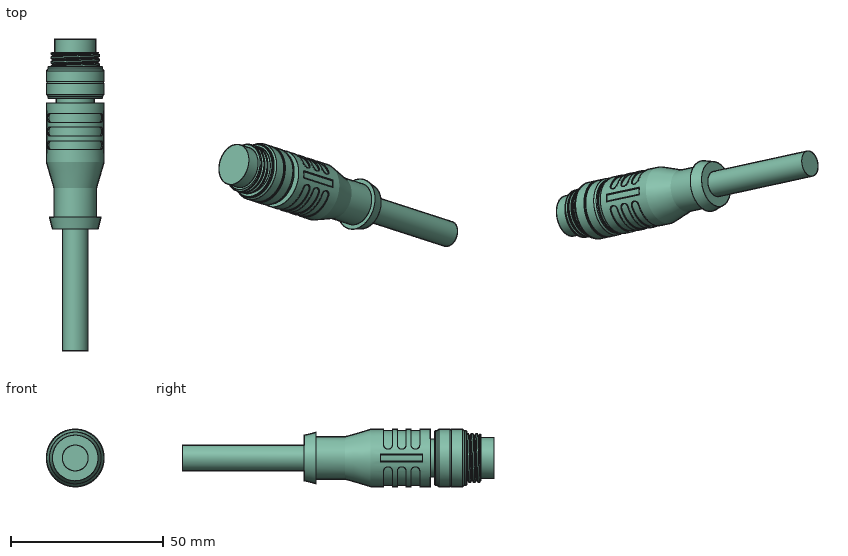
import cadquery as cq

total_length = 102.5
cable_length = 40.0
collar_length = 4.0
boot_length = 9.5
taper_length = 8.5
thread_start = 4.4
nut_start = 9.0
nut_end = 19.6
grip_start = 21.0
collar_end = total_length - cable_length
collar_start = collar_end - collar_length
taper_end = collar_start - boot_length
grip_end = taper_end - taper_length

nose_diameter = 13.6
thread_diameter = 16.0
thread_root_diameter = 14.9
nut_diameter = 19.0
nut_end_diameter = 18.0
nut_groove_diameter = 18.6
neck_diameter = 12.6
grip_diameter = 19.0
boot_diameter = 14.0
collar_large_diameter = 17.0
collar_small_diameter = 15.0
cable_diameter = 8.5

thread_pitch = 1.5
thread_groove_width = 1.05
thread_root_width = 0.3
thread_phase = 0.15
thread_lead_in = 0.3
cutter_overshoot = 0.05

nut_edge_chamfer = 0.25
nut_end_land = 0.55
nut_cone_length = 0.65
nut_groove_width = 0.6

finger_groove_count = 3
finger_groove_pitch = 4.5
finger_groove_width = 2.9
finger_groove_floor_diameter = 18.2
finger_groove_end_height = 2.9
finger_groove_centre = 30.4

side_recess_length = 13.8
side_recess_width = 2.9
side_recess_floor_width = 2.2
side_recess_floor_diameter = 18.6
side_recess_centre = 30.5


def turned_section(start, end, start_diameter, end_diameter):
    """Cylinder or cone on the Y axis between two stations behind the tip."""
    outline = [
        (0, -start),
        (start_diameter / 2, -start),
        (end_diameter / 2, -end),
        (0, -end),
    ]
    return cq.Workplane("XY").polyline(outline).close().revolve(360, (0, 0, 0), (0, 1, 0))


def threaded_shank():
    """Right-hand thread cut as a trapezoidal groove along a helix."""
    shank = turned_section(thread_start, nut_start, thread_diameter, thread_diameter)
    root_radius = thread_root_diameter / 2
    outer_radius = thread_diameter / 2 + cutter_overshoot
    half_root = thread_root_width / 2
    half_width = thread_groove_width / 2
    groove_section = [
        (root_radius, half_root),
        (outer_radius, half_width),
        (outer_radius, -half_width),
        (root_radius, -half_root),
    ]
    helix_height = nut_start - thread_start + 2 * thread_pitch
    helix = cq.Wire.makeHelix(thread_pitch, helix_height, root_radius)
    groove = (
        cq.Workplane("XZ")
        .polyline(groove_section)
        .close()
        .sweep(cq.Workplane(obj=helix), isFrenet=True)
        .rotate((0, 0, 0), (1, 0, 0), -90)
        .translate((0, -nut_start - thread_pitch - thread_phase, 0))
    )
    lead_in_envelope = shank.faces(">Y").chamfer(thread_lead_in)
    return shank.cut(groove).intersect(lead_in_envelope)


def coupling_nut():
    """Ring with a stepped, coned end on each side and a narrow groove around the middle."""
    radius = nut_diameter / 2
    end_radius = nut_end_diameter / 2
    groove_radius = nut_groove_diameter / 2
    half_length = (nut_end - nut_start) / 2
    half_groove = nut_groove_width / 2
    land_edge = half_length - nut_edge_chamfer - nut_end_land
    cone_edge = land_edge - nut_cone_length
    front_half = [
        (groove_radius, half_groove),
        (radius, half_groove),
        (radius, cone_edge),
        (end_radius, land_edge),
        (end_radius, half_length - nut_edge_chamfer),
        (end_radius - nut_edge_chamfer, half_length),
        (0, half_length),
    ]
    rear_half = [(r, -y) for r, y in reversed(front_half)]
    ring = (
        cq.Workplane("XY")
        .polyline(front_half + rear_half)
        .close()
        .revolve(360, (0, 0, 0), (0, 1, 0))
    )
    return ring.translate((0, -(nut_start + nut_end) / 2, 0))


def finger_grooves():
    """Cutters for the finger grooves, shared by the top and the bottom of the grip."""
    reach = grip_diameter
    end_radius = finger_groove_width / 2
    straight_start = finger_groove_end_height + end_radius
    cutters = cq.Workplane("XY")
    for index in range(finger_groove_count):
        offset = (index - (finger_groove_count - 1) / 2) * finger_groove_pitch
        y = -finger_groove_centre - offset
        for side in (1, -1):
            shape = (
                cq.Workplane("YZ")
                .moveTo(y - end_radius, side * reach)
                .lineTo(y - end_radius, side * straight_start)
                .threePointArc((y, side * finger_groove_end_height), (y + end_radius, side * straight_start))
                .lineTo(y + end_radius, side * reach)
                .close()
                .extrude(reach, both=True)
            )
            cutters = cutters.add(shape)
    floor_diameter = finger_groove_floor_diameter
    core = turned_section(grip_start, grip_end, floor_diameter, floor_diameter)
    return cutters.combine().cut(core)


def side_recess(side):
    """Cutter for the long recess on one side of the grip, with sloping long walls."""
    depth = (grip_diameter - side_recess_floor_diameter) / 2
    slope = (side_recess_width - side_recess_floor_width) / 2 / depth
    inner = side * (side_recess_floor_diameter / 2 - depth)
    outer = side * (grip_diameter / 2 + depth)
    inner_half = side_recess_floor_width / 2 - slope * depth
    outer_half = side_recess_width / 2 + slope * depth
    section = [
        (inner, -inner_half),
        (outer, -outer_half),
        (outer, outer_half),
        (inner, inner_half),
    ]
    centre = (0, -side_recess_centre, 0)
    plane = cq.Workplane("XZ", origin=centre)
    wedge = plane.polyline(section).close().extrude(side_recess_length / 2, both=True)
    floor_diameter = side_recess_floor_diameter
    return wedge.cut(turned_section(grip_start, grip_end, floor_diameter, floor_diameter))


def grip():
    """Grip barrel with its finger grooves and side recesses."""
    body = turned_section(grip_start, grip_end, grip_diameter, grip_diameter)
    body = body.cut(finger_grooves())
    for side in (1, -1):
        body = body.cut(side_recess(side))
    return body


result = (
    turned_section(0, nut_start, nose_diameter, nose_diameter)
    .union(threaded_shank())
    .union(coupling_nut())
    .union(turned_section(nut_end, grip_start, neck_diameter, neck_diameter))
    .union(grip())
    .union(turned_section(grip_end, taper_end, grip_diameter, boot_diameter))
    .union(turned_section(taper_end, collar_start, boot_diameter, boot_diameter))
    .union(turned_section(collar_start, collar_end, collar_large_diameter, collar_small_diameter))
    .union(turned_section(collar_end, total_length, cable_diameter, cable_diameter))
)